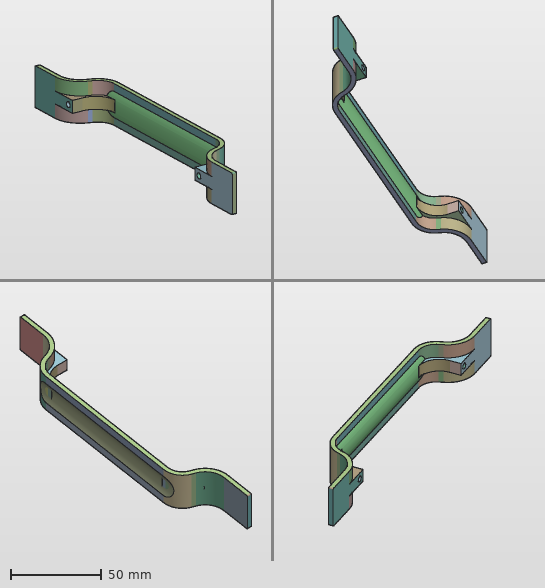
import cadquery as cq
import math

length = 194.0
projection = 24.0
width = 25.0
strip_thickness = 3.0

bend_radius = 13.8
bend_angle = math.radians(71)
grip_half_length = 50.0
inner_radius = bend_radius - strip_thickness
bend_sin = math.sin(bend_angle)
bend_cos = math.cos(bend_angle)
straight_rise = projection - strip_thickness - 2 * bend_radius * (1 - bend_cos)
straight_run = straight_rise / math.tan(bend_angle)
foot_inner_x = grip_half_length + 2 * bend_radius * bend_sin + straight_run
half_length = length / 2
grip_center_y = projection - bend_radius
foot_center_y = strip_thickness + bend_radius

ridge_height = 1.7
ridge_width = 15.7
ridge_radius = ((ridge_width / 2) ** 2 + ridge_height**2) / (2 * ridge_height)
emboss_axis_y = projection - strip_thickness - ridge_height + ridge_radius
groove_radius = ridge_radius - strip_thickness
ridge_overrun = 7.8
ridge_half_length = grip_half_length + ridge_overrun

rib_width = 7.8
rib_face_x = 60.1
rib_end_x = 47.1
rib_radius = rib_face_x - rib_end_x
rib_top_y = 19.8
rib_arc_center_y = rib_top_y - rib_radius
hole_diameter = 3.5
hole_x = 64.2
hole_depth = 7.8

corner_radius = 0.8


def arc_point(center_x, center_y, radius, angle):
    """Point on a circle, with the angle measured from +Y towards +X."""
    return (center_x + radius * math.sin(angle), center_y + radius * math.cos(angle))


def extrude_centered(profile, depth):
    """Extrude an XY profile symmetrically about the middle of the width."""
    return profile.extrude(depth / 2, both=True)


def mirrored_pair(body):
    """Join a body at the +X end with its copy at the -X end."""
    return body.union(body.mirror("YZ"))


def grip_arc(angle, radius):
    return arc_point(grip_half_length, grip_center_y, radius, angle)


def foot_arc(angle, radius):
    return arc_point(foot_inner_x, foot_center_y, radius, math.pi + angle)


def make_strip():
    foot_outer_radius = bend_radius + strip_thickness
    half_profile = (
        cq.Workplane("XY")
        .moveTo(0, projection)
        .lineTo(grip_half_length, projection)
        .threePointArc(grip_arc(bend_angle / 2, bend_radius), grip_arc(bend_angle, bend_radius))
        .lineTo(*foot_arc(bend_angle, bend_radius))
        .threePointArc(foot_arc(bend_angle / 2, bend_radius), foot_arc(0, bend_radius))
        .lineTo(half_length, strip_thickness)
        .lineTo(half_length, 0)
        .lineTo(foot_inner_x, 0)
        .threePointArc(
            foot_arc(bend_angle / 2, foot_outer_radius),
            foot_arc(bend_angle, foot_outer_radius),
        )
        .lineTo(*grip_arc(bend_angle, inner_radius))
        .threePointArc(grip_arc(bend_angle / 2, inner_radius), grip_arc(0, inner_radius))
        .lineTo(0, projection - strip_thickness)
        .close()
    )
    strip = mirrored_pair(extrude_centered(half_profile, width))
    return strip.edges("|Y and (>X or <X)").fillet(corner_radius)


def emboss_cylinder(radius, cylinder_length):
    return (
        cq.Workplane("YZ", origin=(-cylinder_length / 2, 0, 0))
        .center(emboss_axis_y, 0)
        .circle(radius)
        .extrude(cylinder_length)
    )


def make_ridge():
    """Cylinder segment standing proud of the grip, without the rib seats."""
    ridge_length = 2 * ridge_half_length
    below_grip = cq.Workplane("XY").box(ridge_length, projection, width).translate(
        (0, projection / 2 - strip_thickness, 0)
    )
    ridge = emboss_cylinder(ridge_radius, ridge_length).intersect(below_grip)
    seat_length = half_length - rib_end_x
    seat = cq.Workplane("XY").box(seat_length, projection - strip_thickness, rib_width).translate(
        (rib_end_x + seat_length / 2, (projection - strip_thickness) / 2, 0)
    )
    return ridge.cut(mirrored_pair(seat))


def make_ribs():
    strip_middle_radius = bend_radius - strip_thickness / 2
    foot_middle_radius = bend_radius + strip_thickness / 2
    profile = (
        cq.Workplane("XY")
        .moveTo(foot_inner_x, 0)
        .lineTo(rib_face_x, 0)
        .lineTo(rib_face_x, rib_arc_center_y)
        .threePointArc(
            arc_point(rib_end_x, rib_arc_center_y, rib_radius, math.pi / 4),
            (rib_end_x, rib_top_y),
        )
        .lineTo(rib_end_x, grip_center_y + strip_middle_radius)
        .lineTo(*grip_arc(0, strip_middle_radius))
        .threePointArc(
            grip_arc(bend_angle / 2, strip_middle_radius),
            grip_arc(bend_angle, strip_middle_radius),
        )
        .lineTo(*foot_arc(bend_angle, foot_middle_radius))
        .threePointArc(foot_arc(bend_angle / 2, foot_middle_radius), foot_arc(0, foot_middle_radius))
        .close()
    )
    return mirrored_pair(extrude_centered(profile, rib_width))


def make_screw_holes():
    return (
        cq.Workplane("XZ")
        .pushPoints([(-hole_x, 0), (hole_x, 0)])
        .circle(hole_diameter / 2)
        .extrude(-hole_depth)
    )


groove = emboss_cylinder(groove_radius, length)
result = make_strip().union(make_ridge()).cut(groove).union(make_ribs()).cut(make_screw_holes())